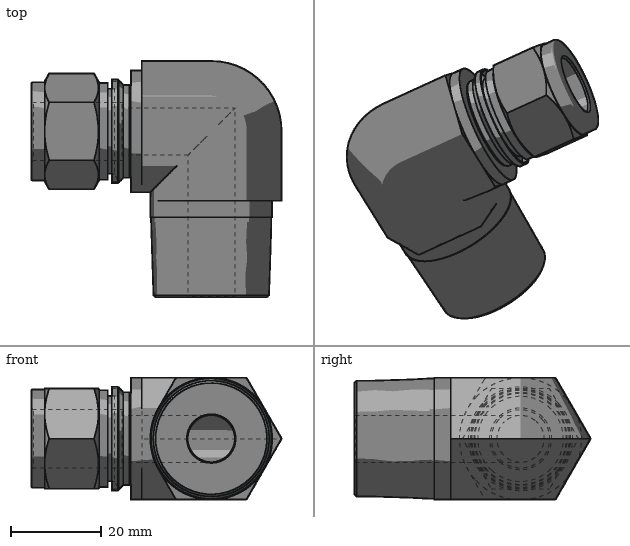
import cadquery as cq
import math

BODY_FLATS = 27.0
ARM_LENGTH = 15.4
EDGE_ROUND = 0.5

BORE_DIA = 10.41
SOCKET_DIA = 12.9
SOCKET_DEPTH = 20.0
SOCKET_CHAMFER = 0.4
BORE_CHAMFER = 0.2

COLLAR_END = 17.8
NECK_END = 18.15
THREAD_END = 19.45
FLANGE_DIA = 23.0
FLANGE_END = 22.0
RECESS_DIA = 22.2
RECESS_RIM_FLOOR = 20.5
RECESS_CORE_FLOOR = 21.5
GROOVE_DIA = 18.9
NUT_SKIRT_END = 22.9
NUT_HEX_NEAR = 24.76
NUT_HEX_FAR = 36.86
TUBE_END = 39.82
NECK_DIA = 20.2
THREAD_DIA = 20.6
NUT_SKIRT_DIA = 21.5
NUT_COLLAR_DIA = 21.8
NUT_COLLAR_ROUND = 0.4
NUT_FLATS = 22.22
NUT_CHAMFER_ANGLE = 30.0

SHOULDER_END = 19.0
TAPER_START = 20.1
PIPE_END = 36.72
PIPE_DIA = 26.67
TAPER_ON_DIAMETER = 1 / 16
PIPE_END_CHAMFER = 0.5

SIN_60 = math.sin(math.radians(60))
COS_60 = math.cos(math.radians(60))
body_radius = BODY_FLATS / 2
body_corner = body_radius / SIN_60
flat_half_width = body_corner / 2


def body_upper_round(side):
    """Start, middle and end of the rounded edge beside the top flat; side is +1 or -1."""
    tangent = EDGE_ROUND * math.tan(math.radians(30))
    center_x = flat_half_width - tangent
    center_z = body_radius - EDGE_ROUND
    points = []
    for angle in (90, 60, 30):
        x = center_x + EDGE_ROUND * math.cos(math.radians(angle))
        z = center_z + EDGE_ROUND * math.sin(math.radians(angle))
        points.append((side * x, z))
    return points


def mirrored(point):
    """Reflect a profile point to the underside."""
    return (point[0], -point[1])


def arm_profile(plane):
    """Hexagon with its outer corner sharp and its inner corner swept to the inscribed circle."""
    outer = body_upper_round(1)
    inner = body_upper_round(-1)
    inner_tangent = (-body_radius * SIN_60, body_radius * COS_60)
    return (
        cq.Workplane(plane)
        .moveTo(body_corner, 0)
        .lineTo(*outer[2])
        .threePointArc(outer[1], outer[0])
        .lineTo(*inner[0])
        .threePointArc(inner[1], inner[2])
        .lineTo(*inner_tangent)
        .threePointArc((-body_radius, 0), mirrored(inner_tangent))
        .lineTo(*mirrored(inner[2]))
        .threePointArc(mirrored(inner[1]), mirrored(inner[0]))
        .lineTo(*mirrored(outer[0]))
        .threePointArc(mirrored(outer[1]), mirrored(outer[2]))
        .close()
    )


def make_body():
    """Both arms joined by a quarter turn of the profile's outer half."""
    arm_x_plane = cq.Plane(origin=(0, 0, 0), xDir=(0, 1, 0), normal=(1, 0, 0))
    arm_y_plane = cq.Plane(origin=(0, 0, 0), xDir=(1, 0, 0), normal=(0, -1, 0))
    arm_x = arm_profile(arm_x_plane).extrude(-ARM_LENGTH)
    arm_y = arm_profile(arm_y_plane).extrude(ARM_LENGTH)
    outer = body_upper_round(1)
    bend = (
        cq.Workplane(arm_y_plane)
        .moveTo(0, body_radius)
        .lineTo(*outer[0])
        .threePointArc(outer[1], outer[2])
        .lineTo(body_corner, 0)
        .lineTo(*mirrored(outer[2]))
        .threePointArc(mirrored(outer[1]), mirrored(outer[0]))
        .lineTo(0, -body_radius)
        .close()
        .revolve(90, (0, 0), (0, 1))
    )
    return arm_x.union(arm_y).union(bend)


def turned(points):
    """Revolve (distance, radius) points about the -X axis."""
    outline = [(-distance, radius) for distance, radius in points]
    return cq.Workplane("XY").polyline(outline).close().revolve(360, (0, 0), (1, 0))


def aim_along_y(solid):
    """Turn a solid lying along -X so that it lies along -Y."""
    return solid.rotate((0, 0, 0), (0, 0, 1), 90)


def make_tube_end():
    """Collar, exposed thread, flange with a cone-floored recess around the core, and nut skirt."""
    flange_bevel = (FLANGE_DIA - THREAD_DIA) / 2
    skirt_radius = NUT_SKIRT_DIA / 2
    return turned([
        (ARM_LENGTH, 0),
        (ARM_LENGTH, body_radius),
        (COLLAR_END, body_radius),
        (COLLAR_END, NECK_DIA / 2),
        (NECK_END, THREAD_DIA / 2),
        (THREAD_END, THREAD_DIA / 2),
        (THREAD_END + flange_bevel, FLANGE_DIA / 2),
        (FLANGE_END, FLANGE_DIA / 2),
        (FLANGE_END, RECESS_DIA / 2),
        (RECESS_RIM_FLOOR, RECESS_DIA / 2),
        (RECESS_CORE_FLOOR, GROOVE_DIA / 2),
        (NUT_SKIRT_END, GROOVE_DIA / 2),
        (NUT_SKIRT_END, skirt_radius),
        (NUT_HEX_NEAR, skirt_radius),
        (NUT_HEX_NEAR, 0),
    ])


def make_nut():
    """Hexagonal nut with conical chamfers on both ends and a round collar."""
    corner_dia = NUT_FLATS / SIN_60
    corner_radius = corner_dia / 2
    slope = math.tan(math.radians(NUT_CHAMFER_ANGLE))
    near_radius = NUT_SKIRT_DIA / 2
    far_radius = NUT_FLATS / 2
    hexagon = (
        cq.Workplane("YZ", origin=(-NUT_HEX_FAR, 0, 0))
        .polygon(6, corner_dia)
        .extrude(NUT_HEX_FAR - NUT_HEX_NEAR)
    )
    chamfer_envelope = turned([
        (NUT_HEX_NEAR, 0),
        (NUT_HEX_NEAR, near_radius),
        (NUT_HEX_NEAR + (corner_radius - near_radius) * slope, corner_radius),
        (NUT_HEX_FAR - (corner_radius - far_radius) * slope, corner_radius),
        (NUT_HEX_FAR, far_radius),
        (NUT_HEX_FAR, 0),
    ])
    collar = (
        cq.Workplane("YZ", origin=(-TUBE_END, 0, 0))
        .circle(NUT_COLLAR_DIA / 2)
        .extrude(TUBE_END - NUT_HEX_FAR)
        .faces("<X")
        .edges()
        .fillet(NUT_COLLAR_ROUND)
    )
    return hexagon.intersect(chamfer_envelope).union(collar)


def make_pipe_end():
    """Round shoulder followed by the tapered male thread."""
    pipe_radius = PIPE_DIA / 2
    tip_radius = pipe_radius - (PIPE_END - TAPER_START) * TAPER_ON_DIAMETER / 2
    return aim_along_y(turned([
        (ARM_LENGTH, 0),
        (ARM_LENGTH, body_radius),
        (SHOULDER_END, body_radius),
        (SHOULDER_END, pipe_radius),
        (TAPER_START, pipe_radius),
        (PIPE_END - PIPE_END_CHAMFER, tip_radius),
        (PIPE_END, tip_radius - PIPE_END_CHAMFER),
        (PIPE_END, 0),
    ]))


def make_bores():
    """Through passage mitred at the elbow, with the tube socket on the nut end."""
    bore_radius = BORE_DIA / 2
    socket_radius = SOCKET_DIA / 2
    tube_passage = turned([
        (0, 0),
        (0, bore_radius),
        (TUBE_END - SOCKET_DEPTH, bore_radius),
        (TUBE_END - SOCKET_DEPTH, socket_radius),
        (TUBE_END - SOCKET_CHAMFER, socket_radius),
        (TUBE_END, socket_radius + SOCKET_CHAMFER),
        (TUBE_END, 0),
    ])
    pipe_passage = aim_along_y(turned([
        (0, 0),
        (0, bore_radius),
        (PIPE_END - BORE_CHAMFER, bore_radius),
        (PIPE_END, bore_radius + BORE_CHAMFER),
        (PIPE_END, 0),
    ]))
    corner_x = cq.Workplane("YZ").circle(bore_radius).extrude(BORE_DIA)
    corner_y = cq.Workplane("XZ").circle(bore_radius).extrude(-BORE_DIA)
    corner = corner_x.intersect(corner_y)
    return tube_passage.union(pipe_passage).union(corner)


result = (
    make_body()
    .union(make_tube_end())
    .union(make_nut())
    .union(make_pipe_end())
    .cut(make_bores())
)